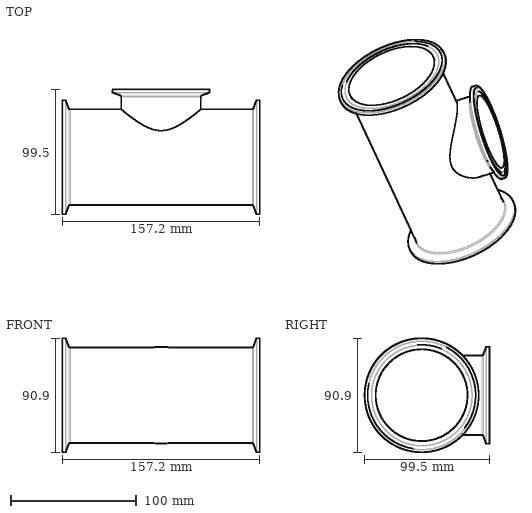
import cadquery as cq
import math

run_length = 157.2
run_outer_diameter = 76.2
run_bore_diameter = 73.0
run_flange_diameter = 90.9

branch_reach = 54.0
branch_outer_diameter = 63.5
branch_bore_diameter = 60.2
branch_flange_diameter = 77.3

rim_thickness = 2.8
edge_radius = 0.5
cone_angle = 20.0
cone_root_radius = 1.1

groove_width = 3.0
groove_depth = 1.0
groove_offset = 3.5


def flanged_tube(length, tube_diameter, flange_diameter):
    """Solid tube along +Z from the origin, with a grooved clamp flange whose face is at z = length."""
    tube_radius = tube_diameter / 2
    flange_radius = flange_diameter / 2
    groove_middle = tube_radius + groove_offset
    groove_inner = groove_middle - groove_width / 2
    groove_outer = groove_middle + groove_width / 2
    rim_back = length - rim_thickness
    cone_length = (flange_radius - tube_radius) * math.tan(math.radians(cone_angle))

    root_tangent = cone_root_radius * math.tan(math.radians(90 - cone_angle) / 2)
    cone_root = rim_back - cone_length
    root_on_tube = (tube_radius, cone_root - root_tangent)
    root_on_cone = (
        tube_radius + root_tangent * math.cos(math.radians(cone_angle)),
        cone_root + root_tangent * math.sin(math.radians(cone_angle)),
    )

    profile = (
        cq.Workplane("XZ")
        .lineTo(tube_radius, 0)
        .lineTo(*root_on_tube)
        .tangentArcPoint(root_on_cone, relative=False)
        .lineTo(flange_radius, rim_back)
        .lineTo(flange_radius, length)
        .lineTo(groove_outer, length)
        .threePointArc((groove_middle, length - groove_depth), (groove_inner, length))
        .lineTo(0, length)
        .close()
    )
    body = profile.revolve(360, (0, 0, 0), (0, 1, 0))
    rim_back_edge = cq.selectors.BoxSelector(
        (-flange_radius, -flange_radius, rim_back - edge_radius),
        (flange_radius, flange_radius, rim_back + edge_radius),
    )
    body = body.edges(rim_back_edge).fillet(edge_radius)
    return body.faces(">Z").edges().fillet(edge_radius)


def bore(diameter, length):
    """Cylinder along +Z from the origin that hollows a tube."""
    return cq.Workplane("XY").circle(diameter / 2).extrude(length)


def along_run(body, direction):
    """Turn a body lying along +Z to lie along +X (direction 1) or -X (direction -1)."""
    return body.rotate((0, 0, 0), (0, 1, 0), direction * 90)


def along_branch(body):
    """Turn a body lying along +Z to lie along +Y."""
    return body.rotate((0, 0, 0), (1, 0, 0), -90)


run_half_length = run_length / 2
run_half = flanged_tube(run_half_length, run_outer_diameter, run_flange_diameter)
branch = flanged_tube(branch_reach, branch_outer_diameter, branch_flange_diameter)
outer_form = along_run(run_half, 1).union(along_run(run_half, -1)).union(along_branch(branch))

run_half_bore = bore(run_bore_diameter, run_half_length)
result = (
    outer_form
    .cut(along_run(run_half_bore, 1))
    .cut(along_run(run_half_bore, -1))
    .cut(along_branch(bore(branch_bore_diameter, branch_reach)))
)